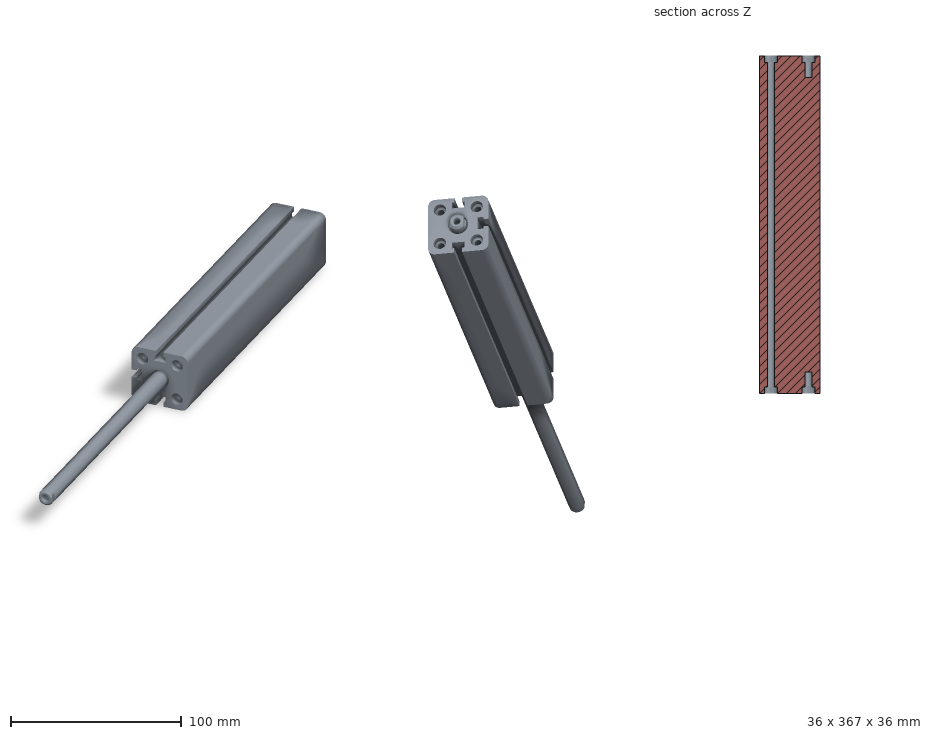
import cadquery as cq
import math

rod_length = 367.0
rod_diameter = 10.0
rod_chamfer = 1.3
flat_width = 8.0
flat_length = 3.5

bore_diameter = 4.0
bore_mouth_diameter = 5.0
bore_depth = 11.0
drill_point_angle = 118.0

housing_side = 36.0
housing_corner_radius = 4.0
housing_length = 197.8
rear_stub = 5.0

gland_diameter = 11.7
gland_depth = 2.0

slot_mouth = 4.8
slot_width = 7.7
slot_depth = 6.5
lip_thickness = 3.0
slot_side_angles = (0, 90, 180)

screw_offset = 11.0
screw_diameter = 4.0
counterbore_diameter = 7.5
counterbore_depth = 3.5
blind_screw_depth = 12.5

rear_tip = rod_length / 2
housing_rear = rear_tip - rear_stub
housing_front = housing_rear - housing_length
housing_middle = (housing_front + housing_rear) / 2


def cylinder(diameter, start, length, x=0.0, z=0.0):
    """Cylinder along +Y starting at y = start."""
    solid = cq.Solid.makeCylinder(diameter / 2, length, cq.Vector(x, start, z), cq.Vector(0, 1, 0))
    return cq.Workplane(obj=solid)


def make_housing():
    """Square bar with rounded long edges."""
    bar = cq.Workplane().box(housing_side, housing_length, housing_side)
    bar = bar.edges("|Y").fillet(housing_corner_radius)
    return bar.translate((0, housing_middle, 0))


def make_slot(angle):
    """T-slot cutter for the top side, turned about Y onto the wanted side."""
    side = housing_side / 2
    groove_height = slot_depth - lip_thickness
    mouth = cq.Workplane().box(slot_mouth, housing_length, slot_depth)
    mouth = mouth.translate((0, housing_middle, side - slot_depth / 2))
    groove = cq.Workplane().box(slot_width, housing_length, groove_height)
    groove = groove.translate((0, housing_middle, side - slot_depth + groove_height / 2))
    return mouth.union(groove).rotate((0, 0, 0), (0, 1, 0), -angle)


def cut_end_holes(body, diameter, depth, x=0.0, z=0.0):
    """Cut the same blind hole into both housing ends."""
    for start in (housing_front, housing_rear - depth):
        body = body.cut(cylinder(diameter, start, depth, x, z))
    return body


def cut_screw_holes(body):
    """Counterbored corner holes: one diagonal pair runs through, the other is blind."""
    for x_sign in (-1, 1):
        for z_sign in (-1, 1):
            x = x_sign * screw_offset
            z = z_sign * screw_offset
            body = cut_end_holes(body, counterbore_diameter, counterbore_depth, x, z)
            if x_sign == z_sign:
                body = body.cut(cylinder(screw_diameter, housing_front, housing_length, x, z))
            else:
                body = cut_end_holes(body, screw_diameter, blind_screw_depth, x, z)
    return body


def make_end_bore():
    """Countersunk blind hole with a drill point, entering the -Y rod end."""
    radius = bore_diameter / 2
    mouth_radius = bore_mouth_diameter / 2
    tip = -rod_length / 2
    countersink_end = tip + mouth_radius - radius
    point_length = radius / math.tan(math.radians(drill_point_angle / 2))
    profile = (
        cq.Workplane("XY")
        .moveTo(0, tip)
        .lineTo(mouth_radius, tip)
        .lineTo(radius, countersink_end)
        .lineTo(radius, tip + bore_depth)
        .lineTo(0, tip + bore_depth + point_length)
        .close()
    )
    return profile.revolve(360, (0, 0, 0), (0, 1, 0))


def make_rod():
    """Chamfered rod with two wrench flats and a bore at both ends."""
    rod = cylinder(rod_diameter, -rod_length / 2, rod_length)
    rod = rod.faces("<Y or >Y").chamfer(rod_chamfer)
    flat_cut = (rod_diameter - flat_width) / 2
    flat_center_x = (flat_width + flat_cut) / 2
    flat_center_y = (rod_length - flat_length) / 2
    for end in (-1, 1):
        for side in (-1, 1):
            cutter = cq.Workplane().box(flat_cut, flat_length, rod_diameter)
            rod = rod.cut(cutter.translate((side * flat_center_x, end * flat_center_y, 0)))
    bore = make_end_bore()
    return rod.cut(bore).cut(bore.mirror("XZ"))


housing = make_housing()
for slot_angle in slot_side_angles:
    housing = housing.cut(make_slot(slot_angle))
housing = cut_screw_holes(housing)
housing = cut_end_holes(housing, gland_diameter, gland_depth)

result = housing.union(make_rod())